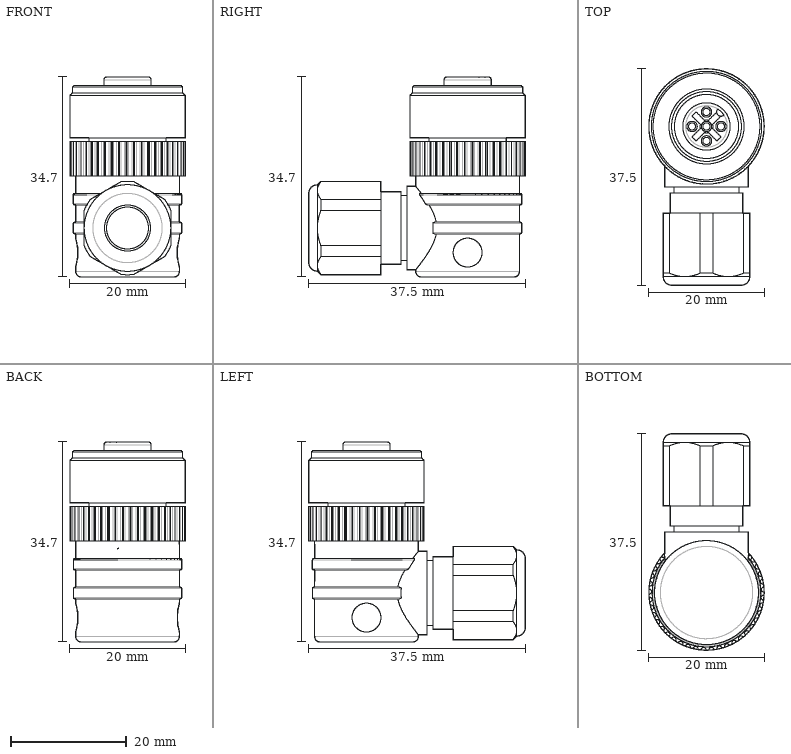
import cadquery as cq
import math


body_radius = 9.0
body_bottom_fillet = 1.0
band_radius = 9.4
band_height = 2.0
band_fillet = 0.25
band_bottoms = (7.5, 12.5)

dimple_radius = 2.5
dimple_height = 4.25
dimple_floor = 8.6

knurl_bottom = 17.5
knurl_top = 23.5
knurl_count = 45
knurl_tip_radius = 10.0
knurl_root_radius = 9.5
knurl_mid_radius = (knurl_tip_radius + knurl_root_radius) / 2
knurl_lobe_share = 0.44
knurl_floor_share = 0.12
knurl_phase = 1.0

neck_radius = 6.7
nut_radius = 10.0
nut_bottom = 24.1
nut_top = 33.2
nut_rim_radius = 9.55
nut_rim_height = 1.3
nut_shoulder_chamfer = 0.45
nut_rim_chamfer = 0.3
nut_mouth_radius = 6.5
nut_thread_radius = 6.05
nut_bore_radius = 5.55
nut_thread_end = 32.2
nut_bore_floor = 28.15

insert_radius = 4.1
insert_top = 34.65
insert_fillet = 0.5
outer_contact_count = 4
contact_circle_radius = 2.5
contact_mouth_radius = 0.9
contact_hole_radius = 0.62
contact_cone_depth = 0.45
contact_hole_depth = 4.0
cross_arm_length = 3.05
cross_arm_width = 1.02
cross_hub_radius = 1.1
cross_depth = 1.1
key_radius = 0.75
key_offset = 3.55
key_depth = 2.0
key_angle = 45.0

gland_height = 8.5
boss_radius = 7.25
boss_end = 10.5
groove_radius = 5.65
groove_end = 11.5
collar_radius = 6.3
collar_end = 15.0
hex_flat_distance = 15.0
hex_corner_radius = 8.1
cap_radius = hex_flat_distance / 2
hex_end = 26.0
gland_end = 27.5
cap_fillet = gland_end - hex_end
cable_hole_radius = 3.63
cable_hole_chamfer = 0.35
cable_hole_depth = 1.75


def cylinder(radius, bottom, top):
    """Cylinder on the plug axis between two heights."""
    return cq.Workplane("XY").workplane(offset=bottom).circle(radius).extrude(top - bottom)


def gland_cylinder(radius, start, end):
    """Cylinder on the cable axis between two distances from the plug axis."""
    plane = cq.Workplane("XZ", origin=(0, -start, gland_height))
    return plane.circle(radius).extrude(end - start)


def revolve_about_plug_axis(profile):
    """Solid of revolution from (radius, height) points."""
    return cq.Workplane("XZ").polyline(profile).close().revolve(360, (0, 0, 0), (0, 1, 0))


def polar(radius, degrees):
    """Point at a radius and angle around the plug axis."""
    angle = math.radians(degrees)
    return radius * math.cos(angle), radius * math.sin(angle)


def make_housing():
    """Round body with two bands and a flat-floored dimple on each side."""
    housing = cylinder(body_radius, 0, knurl_bottom).faces("<Z").edges().fillet(body_bottom_fillet)
    for bottom in band_bottoms:
        band = cylinder(band_radius, bottom, bottom + band_height).edges().fillet(band_fillet)
        housing = housing.union(band)
    for side in (-1, 1):
        plane = cq.Workplane("YZ", origin=(side * dimple_floor, 0, dimple_height))
        housing = housing.cut(plane.circle(dimple_radius).extrude(side * body_radius))
    return housing


def make_knurl():
    """Collar with rounded lobes and narrow flat-bottomed valleys."""
    pitch = 360 / knurl_count
    half_lobe = pitch * knurl_lobe_share / 2
    half_floor = pitch * knurl_floor_share / 2
    half_curve = (pitch / 2 - half_lobe - half_floor) / 2
    quarter_arc_rise = 1 - math.sqrt(0.5)
    curve_radius = knurl_root_radius + quarter_arc_rise * (knurl_mid_radius - knurl_root_radius)
    outline = cq.Workplane("XY").workplane(offset=knurl_bottom)
    outline = outline.moveTo(*polar(knurl_mid_radius, knurl_phase - half_lobe))
    for index in range(knurl_count):
        lobe = knurl_phase + index * pitch
        outline = outline.threePointArc(
            polar(knurl_tip_radius, lobe),
            polar(knurl_mid_radius, lobe + half_lobe),
        )
        floor_start = lobe + pitch / 2 - half_floor
        floor_end = lobe + pitch / 2 + half_floor
        outline = outline.threePointArc(
            polar(curve_radius, lobe + half_lobe + half_curve),
            polar(knurl_root_radius, floor_start),
        )
        outline = outline.lineTo(*polar(knurl_root_radius, floor_end))
        outline = outline.threePointArc(
            polar(curve_radius, floor_end + half_curve),
            polar(knurl_mid_radius, lobe + pitch - half_lobe),
        )
    return outline.close().extrude(knurl_top - knurl_bottom)


def make_coupling_nut():
    """Revolved nut with a stepped rim outside and a stepped bore inside."""
    rim_bottom = nut_top - nut_rim_height
    mouth_chamfer = nut_mouth_radius - nut_thread_radius
    bore_cone = nut_thread_radius - nut_bore_radius
    profile = [
        (0, nut_bottom),
        (nut_radius, nut_bottom),
        (nut_radius, rim_bottom - nut_shoulder_chamfer),
        (nut_rim_radius, rim_bottom),
        (nut_rim_radius, nut_top - nut_rim_chamfer),
        (nut_rim_radius - nut_rim_chamfer, nut_top),
        (nut_mouth_radius, nut_top),
        (nut_thread_radius, nut_top - mouth_chamfer),
        (nut_thread_radius, nut_thread_end),
        (nut_bore_radius, nut_thread_end - bore_cone),
        (nut_bore_radius, nut_bore_floor),
        (0, nut_bore_floor),
    ]
    nut = revolve_about_plug_axis(profile)
    return nut.union(cylinder(neck_radius, knurl_top, nut_bottom))


def make_contact_hole(x, y, top):
    """Cutter for one contact: a cone narrowing into a straight hole."""
    profile = [
        (0, top),
        (contact_mouth_radius, top),
        (contact_hole_radius, top - contact_cone_depth),
        (contact_hole_radius, top - contact_hole_depth),
        (0, top - contact_hole_depth),
    ]
    return revolve_about_plug_axis(profile).translate((x, y, 0))


def make_insert():
    """Contact carrier with a cross recess, five contact holes and a keyway."""
    insert = cylinder(insert_radius, nut_bore_floor, insert_top)
    insert = insert.faces(">Z").edges().fillet(insert_fillet)

    cross_floor = insert_top - cross_depth
    floor_plane = cq.Workplane("XY").workplane(offset=cross_floor)
    for angle in (key_angle, key_angle + 90):
        arm = floor_plane.rect(2 * cross_arm_length, cross_arm_width).extrude(cross_depth)
        insert = insert.cut(arm.rotate((0, 0, 0), (0, 0, 1), angle))
    insert = insert.cut(cylinder(cross_hub_radius, cross_floor, insert_top))

    insert = insert.cut(make_contact_hole(0, 0, cross_floor))
    for index in range(outer_contact_count):
        x, y = polar(contact_circle_radius, index * 360 / outer_contact_count)
        insert = insert.cut(make_contact_hole(x, y, insert_top))

    key_x, key_y = polar(key_offset, key_angle)
    key = cylinder(key_radius, insert_top - key_depth, insert_top).translate((key_x, key_y, 0))
    face_core = cylinder(insert_radius - insert_fillet, insert_top - key_depth, insert_top)
    return insert.cut(key.intersect(face_core))


def make_gland():
    """Boss, groove and collar, then the hexagonal clamping nut."""
    gland = gland_cylinder(boss_radius, 0, boss_end)
    gland = gland.union(gland_cylinder(groove_radius, boss_end, groove_end))
    gland = gland.union(gland_cylinder(collar_radius, groove_end, collar_end))

    hex_plane = cq.Workplane("XZ", origin=(0, -collar_end, gland_height))
    hexagon = hex_plane.polygon(6, hex_flat_distance, circumscribed=True).extrude(hex_end - collar_end)
    corners = gland_cylinder(hex_corner_radius, collar_end, hex_end)
    corners = corners.faces("<Y").edges().chamfer(hex_corner_radius - cap_radius)
    gland = gland.union(hexagon.intersect(corners))

    cap = gland_cylinder(cap_radius, collar_end, gland_end).faces("<Y").edges().fillet(cap_fillet)
    gland = gland.union(cap)

    hole = gland_cylinder(cable_hole_radius, gland_end - cable_hole_depth, gland_end)
    mouth_plane = cq.Workplane("XZ", origin=(0, -gland_end, gland_height))
    mouth = mouth_plane.circle(cable_hole_radius + cable_hole_chamfer)
    mouth = mouth.extrude(-cable_hole_chamfer, taper=45)
    return gland.cut(hole).cut(mouth)


result = (
    make_housing()
    .union(make_gland())
    .union(make_knurl())
    .union(make_coupling_nut())
    .union(make_insert())
)